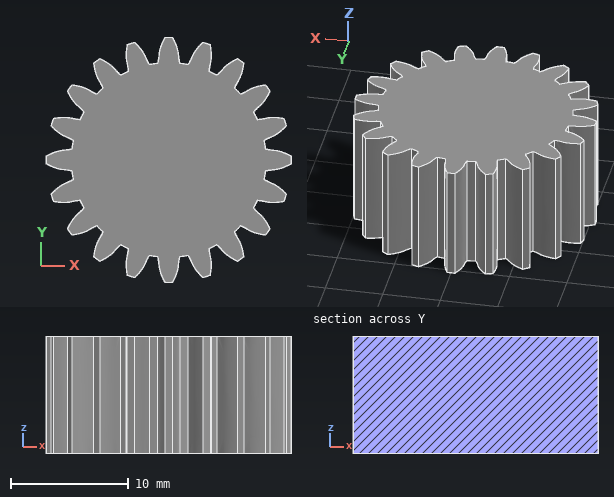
import cadquery as cq
import math

tooth_count = 20
outer_diameter = 20.9
height = 10.0
pressure_angle = math.radians(20)
addendum_factor = 1.0
dedendum_factor = 1.25
root_half_angle = math.radians(6.5)
flank_steps = 6

module = outer_diameter / (tooth_count + 2 * addendum_factor)
pitch_radius = module * tooth_count / 2
tip_radius = outer_diameter / 2
root_radius = pitch_radius - dedendum_factor * module
base_radius = pitch_radius * math.cos(pressure_angle)
tooth_pitch = 2 * math.pi / tooth_count


def involute(angle):
    return math.tan(angle) - angle


def half_tooth_angle(radius):
    """Angle from the tooth centreline to its involute flank."""
    flank_angle = math.acos(base_radius / radius)
    return tooth_pitch / 4 + involute(pressure_angle) - involute(flank_angle)


def polar(radius, angle):
    return (radius * math.cos(angle), radius * math.sin(angle))


def tooth_flank(centre, side):
    """Points from the flared foot, up the involute to the tip; side is -1 or +1."""
    step = (tip_radius - base_radius) / flank_steps
    radii = [base_radius + step * i for i in range(flank_steps + 1)]
    foot = polar(root_radius, centre + side * root_half_angle)
    return [foot] + [polar(r, centre + side * half_tooth_angle(r)) for r in radii]


def gear_outline():
    outline = cq.Workplane("XY").moveTo(*polar(root_radius, -root_half_angle))
    for tooth in range(tooth_count):
        centre = tooth * tooth_pitch
        rising = tooth_flank(centre, -1)
        falling = tooth_flank(centre, 1)[::-1]
        outline = outline.spline(rising[1:], includeCurrent=True)
        outline = outline.threePointArc(polar(tip_radius, centre), falling[0])
        outline = outline.spline(falling[1:], includeCurrent=True)
        outline = outline.threePointArc(
            polar(root_radius, centre + tooth_pitch / 2),
            polar(root_radius, centre + tooth_pitch - root_half_angle),
        )
    return outline.close()


result = gear_outline().extrude(height)